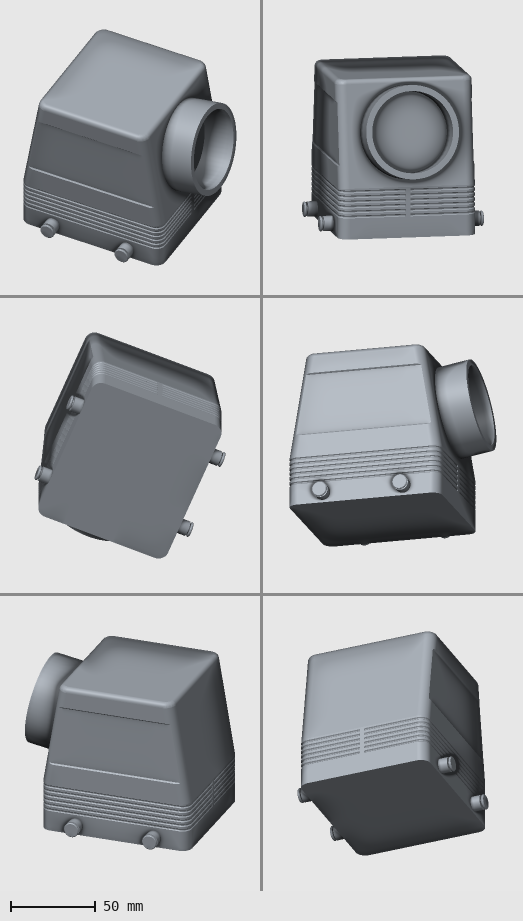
import cadquery as cq
import math

BODY_LENGTH = 93.8
BODY_WIDTH = 82.6
BODY_HEIGHT = 94.0
TAPER_START = 30.5
TAPER_ANGLE = 9.5
CORNER_RADIUS = 6.1
TOP_RADIUS = 3.0

PANEL_BOTTOM = 43.0
PANEL_TOP = 81.2
PANEL_DEPTH = 0.8

GROOVE_COUNT = 6
GROOVE_WIDTH = 1.6
GROOVE_DEPTH = 0.51
LOWEST_GROOVE = 13.5
HIGHEST_GROOVE = 28.5
GROOVE_PITCH = (HIGHEST_GROOVE - LOWEST_GROOVE) / (GROOVE_COUNT - 1)
GROOVE_GAP = 2.9

COLLAR_DIAMETER = 56.0
BORE_DIAMETER = 48.8
COLLAR_LENGTH = 19.5
COLLAR_HEIGHT = 62.6
COLLAR_OVERLAP = 2.2

PIN_SPACING = 49.4
PIN_MIDDLE = -0.2
PIN_HEIGHT = 6.1
PIN_DIAMETER = 9.1
PIN_LENGTH = 8.0
PIN_SHANK_LENGTH = 5.7
PIN_NECK_DIAMETER = 5.2
PIN_HEAD_LENGTH = 1.5
PIN_HEAD_CHAMFER = 0.5
PIN_OVERLAP = 2.2

HALF_LENGTH = BODY_LENGTH / 2
HALF_WIDTH = BODY_WIDTH / 2
TAPER_SLOPE = math.tan(math.radians(TAPER_ANGLE))


def half_length_at(height):
    """Distance from the middle to the sloping side at a given height."""
    return HALF_LENGTH - (height - TAPER_START) * TAPER_SLOPE


def make_body():
    half_top = half_length_at(BODY_HEIGHT)
    side_outline = [
        (-HALF_LENGTH, 0),
        (HALF_LENGTH, 0),
        (HALF_LENGTH, TAPER_START),
        (half_top, BODY_HEIGHT),
        (-half_top, BODY_HEIGHT),
        (-HALF_LENGTH, TAPER_START),
    ]
    block = cq.Workplane("XZ").polyline(side_outline).close().extrude(HALF_WIDTH, both=True)
    upright_edges = block.edges("(not #Z) and (not |Y)")
    return upright_edges.fillet(CORNER_RADIUS).faces(">Z").edges().fillet(TOP_RADIUS)


def make_panel_cutter(side):
    """Bar that cuts the recess on the side at +Y (side = 1) or -Y (side = -1)."""
    floor = side * (HALF_WIDTH - PANEL_DEPTH)
    surface = side * HALF_WIDTH
    outline = [
        (floor, PANEL_BOTTOM + PANEL_DEPTH),
        (floor, PANEL_TOP - PANEL_DEPTH),
        (surface, PANEL_TOP),
        (surface, PANEL_BOTTOM),
    ]
    return cq.Workplane("YZ").polyline(outline).close().extrude(HALF_LENGTH, both=True)


def make_groove_cutter(height):
    """Trapezoidal groove along the +Y half of the skirt, from one X side round to the other."""
    corner = CORNER_RADIUS * math.sqrt(0.5)
    arc_x = HALF_LENGTH - CORNER_RADIUS
    arc_y = HALF_WIDTH - CORNER_RADIUS
    path = (
        cq.Workplane("XY", origin=(0, 0, height))
        .moveTo(-HALF_LENGTH, GROOVE_GAP / 2)
        .lineTo(-HALF_LENGTH, arc_y)
        .threePointArc((-arc_x - corner, arc_y + corner), (-arc_x, HALF_WIDTH))
        .lineTo(arc_x, HALF_WIDTH)
        .threePointArc((arc_x + corner, arc_y + corner), (HALF_LENGTH, arc_y))
        .lineTo(HALF_LENGTH, GROOVE_GAP / 2)
    )
    half_mouth = GROOVE_WIDTH / 2
    half_floor = half_mouth - GROOVE_DEPTH
    section = [
        (0, -half_mouth),
        (GROOVE_DEPTH, -half_floor),
        (GROOVE_DEPTH, half_floor),
        (0, half_mouth),
    ]
    start_plane = cq.Workplane("XZ", origin=(-HALF_LENGTH, GROOVE_GAP / 2, height))
    return start_plane.polyline(section).close().sweep(path)


def make_collar_cylinder(diameter, inward_length):
    """Cylinder on the collar axis, from the outer rim to a depth inside the sloping side."""
    axis_plane = cq.Plane(
        origin=(half_length_at(COLLAR_HEIGHT), 0, COLLAR_HEIGHT),
        xDir=(0, 1, 0),
        normal=(math.cos(math.radians(TAPER_ANGLE)), 0, math.sin(math.radians(TAPER_ANGLE))),
    )
    base = cq.Workplane(axis_plane).workplane(offset=-inward_length)
    return base.circle(diameter / 2).extrude(COLLAR_LENGTH + inward_length)


def make_pin(x, side):
    """Pin with a neck and a chamfered head, turned about an axis along Y."""
    radius = PIN_DIAMETER / 2
    neck_radius = PIN_NECK_DIAMETER / 2
    head_start = PIN_LENGTH - PIN_HEAD_LENGTH
    root = -PIN_OVERLAP
    half_section = [
        (0, root),
        (radius, root),
        (radius, PIN_SHANK_LENGTH),
        (neck_radius, PIN_SHANK_LENGTH),
        (neck_radius, head_start),
        (radius - PIN_HEAD_CHAMFER, head_start),
        (radius, head_start + PIN_HEAD_CHAMFER),
        (radius, PIN_LENGTH - PIN_HEAD_CHAMFER),
        (radius - PIN_HEAD_CHAMFER, PIN_LENGTH),
        (0, PIN_LENGTH),
    ]
    pin_plane = cq.Plane(origin=(x, side * HALF_WIDTH, PIN_HEIGHT), xDir=(side, 0, 0))
    return cq.Workplane(pin_plane).polyline(half_section).close().revolve(360, (0, 0), (0, 1))


result = make_body()

for side in (1, -1):
    result = result.cut(make_panel_cutter(side))

for number in range(GROOVE_COUNT):
    half_groove = make_groove_cutter(LOWEST_GROOVE + number * GROOVE_PITCH)
    result = result.cut(half_groove).cut(half_groove.mirror("XZ"))

result = result.union(make_collar_cylinder(COLLAR_DIAMETER, COLLAR_OVERLAP))
result = result.cut(make_collar_cylinder(BORE_DIAMETER, 0))

for side in (1, -1):
    for x in (PIN_MIDDLE - PIN_SPACING / 2, PIN_MIDDLE + PIN_SPACING / 2):
        result = result.union(make_pin(x, side))